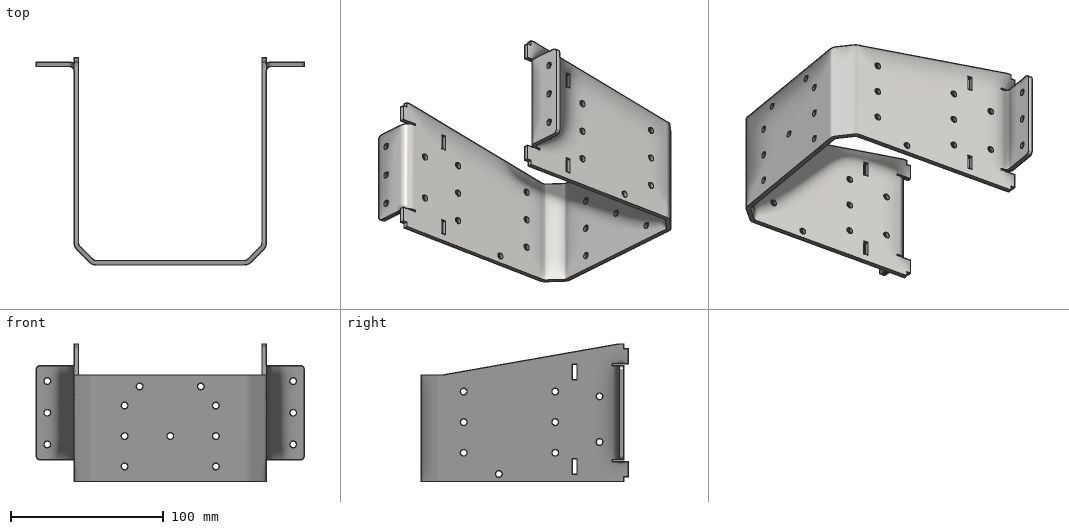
import cadquery as cq
import math

sheet = 3.0
inner_bend_radius = sheet
outer_bend_radius = inner_bend_radius + sheet

overall_width = 176.0
body_width = 126.0
total_depth = 136.0
front_height = 70.0
rear_height = 90.5
corner_setback = 11.8
corner_bend_angle = 45

half_body = body_width / 2
rear_edge = total_depth - sheet
bend_run = outer_bend_radius * math.tan(math.radians(corner_bend_angle / 2))

slope_start = corner_setback + bend_run
slope_end = rear_edge - sheet

flange_height = 62.0
flange_center_z = 45.2
flange_corner_radius = 3.0
flange_bottom = flange_center_z - flange_height / 2
flange_top = flange_center_z + flange_height / 2

relief_gap = 1.0
relief_depth = 10.5
relief_floor = total_depth - relief_depth
tab_height = 10.0
lower_tab_top = flange_bottom - relief_gap
upper_tab_bottom = flange_top + relief_gap

hole_diameter = 4.2
flange_hole_x = 80.6
flange_hole_pitch = 20.8
front_hole_x = 30.0
front_hole_rows = [10.0, 30.0, 50.0]
front_top_hole_x = 20.0
front_top_hole_z = 62.5
wall_hole_columns = [28.0, 88.0]
wall_hole_center_z = 39.0
wall_hole_pitch = 20.0
rear_wall_hole_y = 117.0
rear_wall_holes_z = [26.0, 56.0]
low_wall_hole = (51.0, 5.1)
wall_slot_y = 100.7
wall_slot_width = 3.0
wall_slot_height = 10.0
wall_slots_z = [10.0, 72.0]


def bent_channel():
    """U-shaped sheet with two 45-degree bends at each front corner."""
    block = (
        cq.Workplane("XY")
        .box(body_width, total_depth, rear_height, centered=(True, False, False))
        .edges("|Z and <Y")
        .chamfer(corner_setback)
    )
    rounded = block.edges("|Z").edges("not(>Y)").fillet(outer_bend_radius)
    return rounded.faces("|Z or >Y").shell(-sheet)


def side_outline():
    """Side shape of the walls, as a prism across the whole body."""
    return (
        cq.Workplane("YZ")
        .polyline([
            (0, 0),
            (rear_edge, 0),
            (rear_edge, lower_tab_top - tab_height),
            (total_depth, lower_tab_top - tab_height),
            (total_depth, lower_tab_top),
            (relief_floor, lower_tab_top),
            (relief_floor, upper_tab_bottom),
            (total_depth, upper_tab_bottom),
            (total_depth, upper_tab_bottom + tab_height),
            (rear_edge, upper_tab_bottom + tab_height),
            (rear_edge, rear_height),
            (slope_end, rear_height),
            (slope_start, front_height),
            (0, front_height),
        ])
        .close()
        .extrude(half_body, both=True)
    )


def right_flange():
    """Flange on the +X wall: a short run of wall, a 90-degree bend and a drilled plate."""
    wall_inside = half_body - sheet
    plate_front = rear_edge - sheet
    bend_x = half_body + inner_bend_radius
    bend_y = plate_front - inner_bend_radius
    diagonal = math.sqrt(0.5)
    plate_end = overall_width / 2
    flange = (
        cq.Workplane("XY")
        .workplane(offset=flange_bottom)
        .moveTo(wall_inside, relief_floor)
        .lineTo(wall_inside, bend_y)
        .threePointArc(
            (bend_x - outer_bend_radius * diagonal, bend_y + outer_bend_radius * diagonal),
            (bend_x, rear_edge),
        )
        .lineTo(plate_end, rear_edge)
        .lineTo(plate_end, plate_front)
        .lineTo(bend_x, plate_front)
        .threePointArc(
            (bend_x - inner_bend_radius * diagonal, bend_y + inner_bend_radius * diagonal),
            (half_body, bend_y),
        )
        .lineTo(half_body, relief_floor)
        .close()
        .extrude(flange_height)
        .edges("|Y and >X")
        .fillet(flange_corner_radius)
    )
    hole_points = [
        (flange_hole_x, flange_center_z + step * flange_hole_pitch) for step in (-1, 0, 1)
    ]
    holes = (
        cq.Workplane("XZ")
        .pushPoints(hole_points)
        .circle(hole_diameter / 2)
        .extrude(-total_depth)
    )
    return flange.cut(holes)


def front_holes():
    """Hole pattern through the front panel."""
    points = [(side * front_hole_x, z) for side in (-1, 1) for z in front_hole_rows]
    points += [(side * front_top_hole_x, front_top_hole_z) for side in (-1, 1)]
    points.append((0, front_hole_rows[1]))
    return (
        cq.Workplane("XZ")
        .pushPoints(points)
        .circle(hole_diameter / 2)
        .extrude(-2 * sheet)
    )


def wall_openings():
    """Round holes and upright slots through both side walls."""
    points = [
        (y, wall_hole_center_z + step * wall_hole_pitch)
        for y in wall_hole_columns
        for step in (-1, 0, 1)
    ]
    points += [(rear_wall_hole_y, z) for z in rear_wall_holes_z]
    points.append(low_wall_hole)
    holes = (
        cq.Workplane("YZ")
        .pushPoints(points)
        .circle(hole_diameter / 2)
        .extrude(body_width, both=True)
    )
    slots = (
        cq.Workplane("YZ")
        .pushPoints([(wall_slot_y, z) for z in wall_slots_z])
        .rect(wall_slot_width, wall_slot_height)
        .extrude(body_width, both=True)
    )
    return holes.union(slots)


flange = right_flange()
result = (
    bent_channel()
    .intersect(side_outline())
    .cut(front_holes())
    .cut(wall_openings())
    .union(flange)
    .union(flange.mirror("YZ"))
)